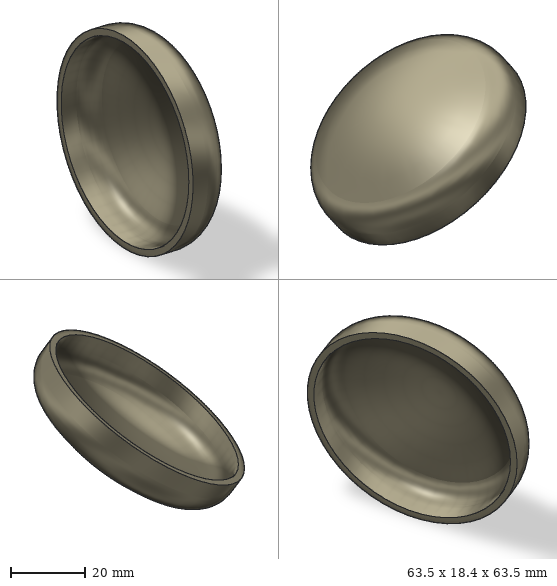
import cadquery as cq
import math

outer_diameter = 63.5
bore_diameter = 59.5
skirt_length = 5.0
inner_knuckle_radius = outer_diameter / 10
inner_crown_radius = outer_diameter

outer_radius = outer_diameter / 2
wall = (outer_diameter - bore_diameter) / 2

knuckle_centre_x = outer_radius - wall - inner_knuckle_radius
centre_distance = inner_crown_radius - inner_knuckle_radius
crown_centre_y = skirt_length - math.sqrt(centre_distance**2 - knuckle_centre_x**2)

junction_angle = math.asin(knuckle_centre_x / centre_distance)


def on_knuckle(radius, angle):
    """Point on a knuckle arc, at an angle measured from the axis."""
    return (knuckle_centre_x + radius * math.sin(angle), skirt_length + radius * math.cos(angle))


def on_crown(radius, angle):
    """Point on a crown arc, at an angle measured from the axis."""
    return (radius * math.sin(angle), crown_centre_y + radius * math.cos(angle))


def domed_solid(offset):
    """Solid bounded by the inner skin moved outward by the offset."""
    knuckle_radius = inner_knuckle_radius + offset
    crown_radius = inner_crown_radius + offset
    skirt_radius = knuckle_centre_x + knuckle_radius
    knuckle_mid_angle = (math.pi / 2 + junction_angle) / 2
    profile = (
        cq.Workplane("XY")
        .lineTo(skirt_radius, 0)
        .lineTo(skirt_radius, skirt_length)
        .threePointArc(
            on_knuckle(knuckle_radius, knuckle_mid_angle),
            on_knuckle(knuckle_radius, junction_angle),
        )
        .threePointArc(on_crown(crown_radius, junction_angle / 2), on_crown(crown_radius, 0))
        .close()
    )
    return profile.revolve(360, (0, 0, 0), (0, 1, 0))


result = domed_solid(wall).cut(domed_solid(0))